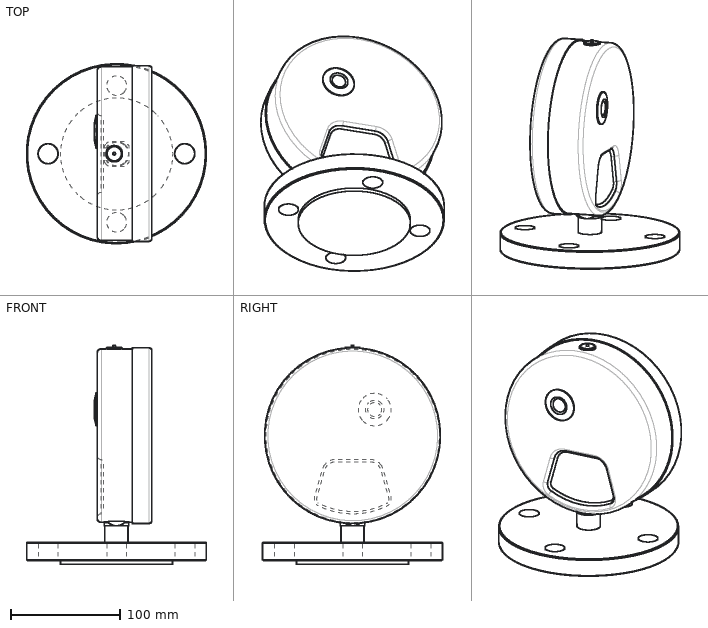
import cadquery as cq
import math

FLANGE_DIAMETER = 165.0
FLANGE_BOTTOM = 3.5
FLANGE_TOP = 20.5
FLANGE_CHAMFER = 1.0
SEAL_DIAMETER = 103.0
BOLT_HOLE_DIAMETER = 18.0
BOLT_CIRCLE_DIAMETER = 125.2
BOLT_COUNT = 4

STEM_DIAMETER = 21.5
COLLAR_FLATS = 22.7
COLLAR_DIAMETER = 27.0
COLLAR_BOTTOM = 35.4
COLLAR_CONE_HEIGHT = 2.6

CASE_CENTRE_Z = 118.0
CASE_DIAMETER = 159.0
CASE_BACK_X = -17.7
CASE_FILLET = 3.6
RING_DIAMETER = 161.2
RING_START_X = 14.7
RING_END_X = 32.5
RING_FILLET = 2.8

BUTTON_Y = 20.0
BUTTON_Z = 142.1
BUTTON_RADIUS = 30.0 / 2
BUTTON_RIM_HEIGHT = 1.0
BUTTON_HEIGHT = 2.5
DISH_TOP_RADIUS = 8.5
DISH_FLOOR_RADIUS = 6.5
DISH_DEPTH = 0.8

POCKET_TOP_Z = 96.5
POCKET_TOP_HALF_WIDTH = 25.3
POCKET_SIDE_ANGLE = math.radians(15.7)
POCKET_BOTTOM_RADIUS = 71.5
POCKET_DEPTH = 5.6
POCKET_UPPER_CORNER = 12.9
POCKET_LOWER_CORNER = 7.2
POCKET_RIM_FILLET = 3.0
POCKET_FLOOR_CHAMFER = 2.2

VENT_X = -2.0
VENT_DIAMETER = 15.0
VENT_TOP = 198.8
VENT_CHAMFER = 1.0
PIN_DIAMETER = 2.5
PIN_TOP = 201.0


def upright_cylinder(diameter, bottom, top):
    return cq.Workplane("XY", origin=(0, 0, bottom)).circle(diameter / 2).extrude(top - bottom)


def drum(diameter, start_x, end_x):
    plane = cq.Workplane("YZ", origin=(start_x, 0, CASE_CENTRE_Z))
    return plane.circle(diameter / 2).extrude(end_x - start_x)


def make_flange():
    disc = upright_cylinder(FLANGE_DIAMETER, FLANGE_BOTTOM, FLANGE_TOP).edges().chamfer(FLANGE_CHAMFER)
    seal = upright_cylinder(SEAL_DIAMETER, 0, FLANGE_BOTTOM)
    holes = (
        cq.Workplane("XY")
        .polarArray(BOLT_CIRCLE_DIAMETER / 2, 0, 360, BOLT_COUNT)
        .circle(BOLT_HOLE_DIAMETER / 2)
        .extrude(FLANGE_TOP)
    )
    return disc.union(seal).cut(holes)


def make_collar():
    """Square bar with rounded corners and a conical lower end."""
    cone_top = COLLAR_BOTTOM + COLLAR_CONE_HEIGHT
    turned = (
        cq.Workplane("XZ")
        .moveTo(0, COLLAR_BOTTOM)
        .lineTo(COLLAR_FLATS / 2, COLLAR_BOTTOM)
        .lineTo(COLLAR_DIAMETER / 2, cone_top)
        .lineTo(COLLAR_DIAMETER / 2, CASE_CENTRE_Z)
        .lineTo(0, CASE_CENTRE_Z)
        .close()
        .revolve(360, (0, 0, 0), (0, 1, 0))
    )
    square = cq.Workplane("XY").rect(COLLAR_FLATS, COLLAR_FLATS).extrude(CASE_CENTRE_Z)
    return turned.intersect(square)


def make_case():
    body = drum(CASE_DIAMETER, CASE_BACK_X, RING_START_X).faces("<X").edges().fillet(CASE_FILLET)
    ring = drum(RING_DIAMETER, RING_START_X, RING_END_X).faces(">X").edges().fillet(RING_FILLET)
    return body.union(ring)


def make_pocket():
    """Pocket cutter: sloping sides meet an arc about the case axis."""
    slope = math.tan(POCKET_SIDE_ANGLE)
    top = POCKET_TOP_Z - CASE_CENTRE_Z
    axis_half_width = POCKET_TOP_HALF_WIDTH + slope * top
    distance_to_side = axis_half_width * math.cos(POCKET_SIDE_ANGLE)
    corner_angle = math.acos(distance_to_side / POCKET_BOTTOM_RADIUS) - POCKET_SIDE_ANGLE
    corner_y = POCKET_BOTTOM_RADIUS * math.cos(corner_angle)
    corner_z = -POCKET_BOTTOM_RADIUS * math.sin(corner_angle)
    cutter = (
        cq.Workplane("YZ", origin=(CASE_BACK_X, 0, CASE_CENTRE_Z))
        .moveTo(-POCKET_TOP_HALF_WIDTH, top)
        .lineTo(POCKET_TOP_HALF_WIDTH, top)
        .lineTo(corner_y, corner_z)
        .threePointArc((0, -POCKET_BOTTOM_RADIUS), (-corner_y, corner_z))
        .close()
        .extrude(POCKET_DEPTH)
    )
    cutter = cutter.edges("|X").edges(">Z").fillet(POCKET_UPPER_CORNER)
    cutter = cutter.edges("|X").edges("<Z").fillet(POCKET_LOWER_CORNER)
    return cutter.faces(">X").edges().chamfer(POCKET_FLOOR_CHAMFER)


def round_pocket_rim(case):
    middle_z = (POCKET_TOP_Z + CASE_CENTRE_Z - POCKET_BOTTOM_RADIUS) / 2
    rim_zone = cq.selectors.BoxSelector(
        (CASE_BACK_X - 0.2, -CASE_DIAMETER / 4, middle_z - CASE_DIAMETER / 4),
        (CASE_BACK_X + 0.2, CASE_DIAMETER / 4, middle_z + CASE_DIAMETER / 4),
    )
    return case.faces("<X").edges(rim_zone).fillet(POCKET_RIM_FILLET)


def make_button():
    """Button with a sloping face, turned about an axis along X; heights run outward from the case."""
    return (
        cq.Workplane("XY", origin=(CASE_BACK_X, BUTTON_Y, BUTTON_Z))
        .lineTo(0, BUTTON_RADIUS)
        .lineTo(-BUTTON_RIM_HEIGHT, BUTTON_RADIUS)
        .lineTo(-BUTTON_HEIGHT, DISH_TOP_RADIUS)
        .lineTo(DISH_DEPTH - BUTTON_HEIGHT, DISH_FLOOR_RADIUS)
        .lineTo(DISH_DEPTH - BUTTON_HEIGHT, 0)
        .close()
        .revolve(360, (0, 0, 0), (1, 0, 0))
    )


def make_vent():
    cap = upright_cylinder(VENT_DIAMETER, CASE_CENTRE_Z, VENT_TOP).faces(">Z").edges().chamfer(VENT_CHAMFER)
    pin = upright_cylinder(PIN_DIAMETER, CASE_CENTRE_Z, PIN_TOP - PIN_DIAMETER / 2)
    tip = cq.Workplane("XY", origin=(0, 0, PIN_TOP - PIN_DIAMETER / 2)).sphere(PIN_DIAMETER / 2)
    return cap.union(pin).union(tip).translate((VENT_X, 0, 0))


case = round_pocket_rim(make_case().cut(make_pocket()))
stem = upright_cylinder(STEM_DIAMETER, FLANGE_TOP, CASE_CENTRE_Z)
neck = stem.union(make_collar())
result = make_flange().union(neck).union(case).union(make_button()).union(make_vent())